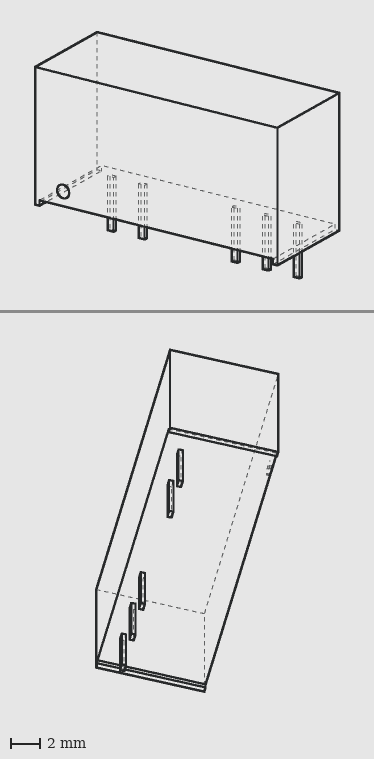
import cadquery as cq

housing_length = 19.9
housing_width = 7.65
housing_height = 10.15
foot_length = 0.35
foot_height = 0.4

overall_height = 13.75
pin_width = 0.5
pin_thickness = 0.3
pin_pitch = 2.55
first_pin_x = -7.95
pin_row_y = 2.6
pin_grid_places = [0, 1, 4, 5, 6]
pin_drop = overall_height - housing_height
pin_length = pin_drop + foot_height

marker_diameter = 1.0
marker_depth = 0.1
marker_x = -7.65
marker_z = 1.5
front_y = -housing_width / 2


def make_marker():
    """Disc whose outer face lies in the front face of the housing."""
    front_face = cq.Workplane("XZ", origin=(marker_x, front_y, marker_z))
    return front_face.circle(marker_diameter / 2).extrude(-marker_depth)


def make_housing():
    """Block with a shallow channel between two end feet and a marker recess."""
    on_base = (True, True, False)
    block = cq.Workplane("XY").box(housing_length, housing_width, housing_height, centered=on_base)
    channel_length = housing_length - 2 * foot_length
    channel = cq.Workplane("XY").box(channel_length, housing_width, foot_height, centered=on_base)
    return block.cut(channel).cut(make_marker())


def make_pin(grid_place):
    """Flat pin hanging from the channel roof at one place of the pin grid."""
    pin_x = first_pin_x + grid_place * pin_pitch
    channel_roof = cq.Workplane("XY", origin=(pin_x, pin_row_y, foot_height))
    return channel_roof.rect(pin_width, pin_thickness).extrude(-pin_length)


housing = make_housing()
marker = make_marker()
pins = [make_pin(grid_place) for grid_place in pin_grid_places]

result = cq.Compound.makeCompound([housing.val(), marker.val(), *[pin.val() for pin in pins]])